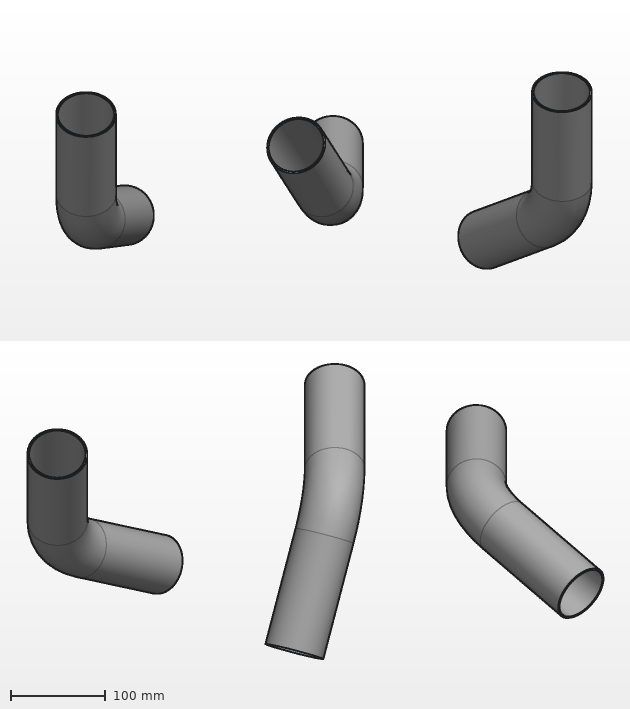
import cadquery as cq
import math

outer_diameter = 63.5
inner_diameter = 59.5
leg_length = 126.5
bend_radius = 102.7
bend_angle = 45

angle = math.radians(bend_angle)
bend_end_y = bend_radius * (1 - math.cos(angle))
bend_end_z = -bend_radius * math.sin(angle)
lower_direction = cq.Vector(0, math.sin(angle), -math.cos(angle))


def ring(plane):
    """Pipe cross-section on the given plane."""
    return cq.Workplane(plane).circle(outer_diameter / 2).circle(inner_diameter / 2)


upper_leg = ring("XY").extrude(leg_length)

bend = ring("XY").revolve(bend_angle, (0, bend_radius, 0), (1, bend_radius, 0))

bend_end = cq.Plane(
    origin=(0, bend_end_y, bend_end_z),
    xDir=(1, 0, 0),
    normal=lower_direction,
)
lower_leg = ring(bend_end).extrude(leg_length)

result = upper_leg.union(bend).union(lower_leg)